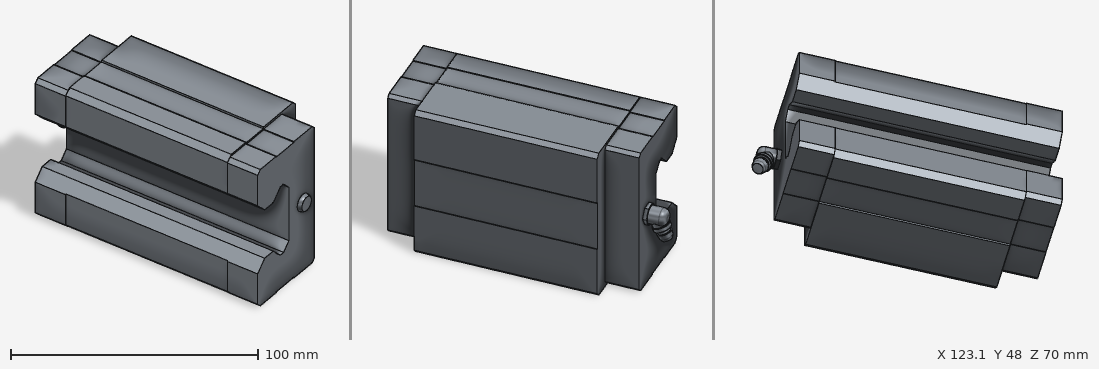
import cadquery as cq
import math

total_length = 123.0
end_plug_length = 1.8
nipple_overhang = 11.2
body_length = total_length - nipple_overhang - end_plug_length
cap_length = 15.0
block_length = body_length - 2 * cap_length

block_bottom = 0.2
block_top = 48.0
block_width = 70.0
block_half_width = block_width / 2
block_lower_half_width = 34.7
block_waist_half_width = 34.3
block_top_chamfer = 1.8
block_bottom_chamfer = 2.6
top_relief_width = 22.6
top_relief_depth = 0.4

cap_top = 39.7
cap_half_width = 33.9
cap_waist_depth = 0.4
cap_top_chamfer = 1.5
cap_bottom_chamfer = 1.8

waist_bottom = 13.2
waist_top = 25.5
waist_ramp = 0.4

channel_depth = 21.9
channel_floor_half_width = 13.3
channel_wide_half_width = 17.0
channel_throat_half_width = 12.0
wide_bottom = 15.9
throat_bottom = channel_wide_half_width - channel_throat_half_width
throat_top = wide_bottom - throat_bottom
wide_top = channel_depth - (channel_wide_half_width - channel_floor_half_width)

port_height = 31.7
hex_sides = 6
hex_across_flats = 8.0
hex_length = 1.8
washer_diameter = 8.6
washer_thickness = 0.1
elbow_diameter = 7.9
elbow_length = 9.3
elbow_rounding = 2.6
plug_diameter = 8.0
plug_tip_diameter = 6.6

nipple_angle = 23.0
nipple_origin_x = -4.7
stub_radius = 3.6
collar_radius = 3.9
neck_diameter = 5.5
neck_radius = neck_diameter / 2
head_radius = 3.3
shoulder_radius = 3.0
tip_radius = 2.3
collar_start = 3.8
collar_end = 5.9
collar_bevel = 0.2
head_start = 7.4
head_bevel = 0.2
head_shoulder = 9.7
head_end = 11.0


def extrude_mirrored(half_outline, start_x, length):
    """Extrude a (height, half width) outline along X, closed by its mirror image about Z = 0."""
    mirrored = [(y, -z) for y, z in reversed(half_outline)]
    return (
        cq.Workplane("YZ")
        .workplane(offset=start_x)
        .polyline(half_outline + mirrored)
        .close()
        .extrude(length)
    )


def make_block():
    outline = [
        (block_bottom, block_lower_half_width - block_bottom_chamfer),
        (block_bottom + block_bottom_chamfer, block_lower_half_width),
        (waist_bottom, block_lower_half_width),
        (waist_bottom, block_waist_half_width),
        (waist_top - waist_ramp, block_waist_half_width),
        (waist_top, block_half_width),
        (block_top - block_top_chamfer, block_half_width),
        (block_top, block_half_width - block_top_chamfer),
        (block_top, top_relief_width / 2),
        (block_top - top_relief_depth, top_relief_width / 2),
    ]
    return extrude_mirrored(outline, cap_length, block_length)


def make_cap(start_x):
    cap_waist_half_width = cap_half_width - cap_waist_depth
    outline = [
        (0, cap_half_width - cap_bottom_chamfer),
        (cap_bottom_chamfer, cap_half_width),
        (waist_bottom, cap_half_width),
        (waist_bottom, cap_waist_half_width),
        (waist_top, cap_waist_half_width),
        (waist_top, cap_half_width),
        (cap_top - cap_top_chamfer, cap_half_width),
        (cap_top, cap_half_width - cap_top_chamfer),
    ]
    return extrude_mirrored(outline, start_x, cap_length)


def make_channel():
    outline = [
        (0, channel_wide_half_width),
        (throat_bottom, channel_throat_half_width),
        (throat_top, channel_throat_half_width),
        (wide_bottom, channel_wide_half_width),
        (wide_top, channel_wide_half_width),
        (channel_depth, channel_floor_half_width),
    ]
    return extrude_mirrored(outline, 0, body_length)


def make_elbow():
    port = cq.Workplane("YZ").center(port_height, 0)
    hex_across_corners = hex_across_flats / math.cos(math.pi / hex_sides)
    hex_base = port.polygon(hex_sides, hex_across_corners).extrude(-hex_length)
    washer = port.circle(washer_diameter / 2).extrude(-washer_thickness)
    washer = washer.translate((washer_thickness - hex_length, 0, 0))
    elbow = port.circle(elbow_diameter / 2).extrude(-elbow_length)
    elbow = elbow.faces("<X").edges().fillet(elbow_rounding)
    return hex_base.union(washer).union(elbow)


def make_nipple_head():
    head = (
        cq.Workplane("XZ")
        .lineTo(stub_radius, 0)
        .lineTo(stub_radius, -collar_start)
        .lineTo(collar_radius, -collar_start - collar_bevel)
        .lineTo(collar_radius, -collar_end + collar_bevel)
        .lineTo(collar_radius - collar_bevel, -collar_end)
        .lineTo(neck_radius, -collar_end)
        .lineTo(neck_radius, -head_start)
        .lineTo(head_radius, -head_start - head_bevel)
        .lineTo(shoulder_radius, -head_shoulder)
        .lineTo(tip_radius, -head_end)
        .lineTo(0, -head_end)
        .close()
        .revolve(360, (0, 0), (0, 1))
    )
    tilted = head.rotate((0, 0, 0), (0, 1, 0), nipple_angle)
    return tilted.translate((nipple_origin_x, port_height, 0))


def make_plug():
    plug_radius = plug_diameter / 2
    tip_drop = plug_radius - plug_tip_diameter / 2
    bulge_radius = (end_plug_length**2 + tip_drop**2) / (2 * tip_drop)
    profile = (
        cq.Workplane("XY")
        .workplane(origin=(body_length, port_height, 0))
        .lineTo(0, plug_radius)
        .radiusArc((end_plug_length, plug_tip_diameter / 2), bulge_radius)
        .lineTo(end_plug_length, 0)
        .close()
    )
    return profile.revolve(360, (0, 0), (1, 0))


body = make_block()
for cap_start in (0, body_length - cap_length):
    body = body.union(make_cap(cap_start))
body = body.cut(make_channel())

result = body.union(make_elbow()).union(make_nipple_head()).union(make_plug())